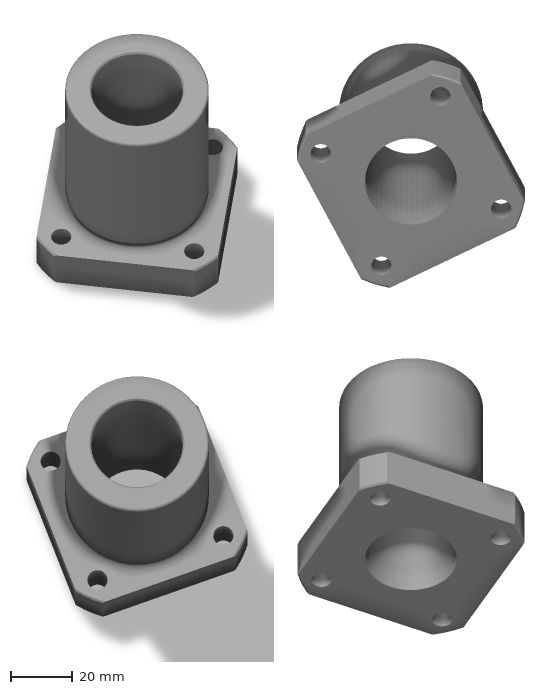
import cadquery as cq

total_height = 67.8
flange_diameter = 75.7
flange_across_flats = 59.8
flange_thickness = 14.0
flange_rim_chamfer = 0.5

sleeve_diameter = 46.95
bore_diameter = 30.0
sleeve_top_round = 0.9
bore_edge_chamfer = 0.5

relief_height = 2.4
relief_depth = 0.6
relief_taper_height = 1.6
relief_floor_height = 0.3

hole_diameter = 6.6
hole_circle_diameter = 62.0
hole_count = 4

sleeve_radius = sleeve_diameter / 2
bore_radius = bore_diameter / 2


def make_flange():
    """Turned disc with chamfered rims, milled to a square whose corners point along X and Y."""
    disc = cq.Workplane("XY").circle(flange_diameter / 2).extrude(flange_thickness)
    disc = disc.faces("<Z or >Z").edges().chamfer(flange_rim_chamfer)
    square = (
        cq.Workplane("XY")
        .transformed(rotate=(0, 0, 45))
        .rect(flange_across_flats, flange_across_flats)
        .extrude(flange_thickness)
    )
    bore = cq.Workplane("XY").circle(bore_radius).extrude(flange_thickness)
    holes = (
        cq.Workplane("XY")
        .polarArray(hole_circle_diameter / 2, 0, 360, hole_count)
        .circle(hole_diameter / 2)
        .extrude(flange_thickness)
    )
    return disc.intersect(square).cut(bore).cut(holes)


def make_sleeve():
    """Turned sleeve standing on the flange, with a tapered relief groove at its foot."""
    foot_z = flange_thickness
    relief_top_z = foot_z + relief_height
    floor_top_z = relief_top_z - relief_taper_height
    floor_bottom_z = floor_top_z - relief_floor_height
    floor_radius = sleeve_radius - relief_depth
    foot_round = floor_bottom_z - foot_z
    foot_radius = floor_radius + foot_round

    profile = (
        cq.Workplane("XZ")
        .moveTo(bore_radius, foot_z)
        .lineTo(foot_radius, foot_z)
        .radiusArc((floor_radius, floor_bottom_z), foot_round)
        .lineTo(floor_radius, floor_top_z)
        .lineTo(sleeve_radius, relief_top_z)
        .lineTo(sleeve_radius, total_height)
        .lineTo(bore_radius, total_height)
        .close()
    )
    body = profile.revolve(360, (0, 0, 0), (0, 1, 0))
    outer_rim = cq.selectors.RadiusNthSelector(-1)
    bore_rim = cq.selectors.RadiusNthSelector(0)
    body = body.faces(">Z").edges(outer_rim).fillet(sleeve_top_round)
    return body.faces(">Z").edges(bore_rim).chamfer(bore_edge_chamfer)


flange = make_flange()
sleeve = make_sleeve()
result = cq.Compound.makeCompound([flange.solids().val(), sleeve.solids().val()])